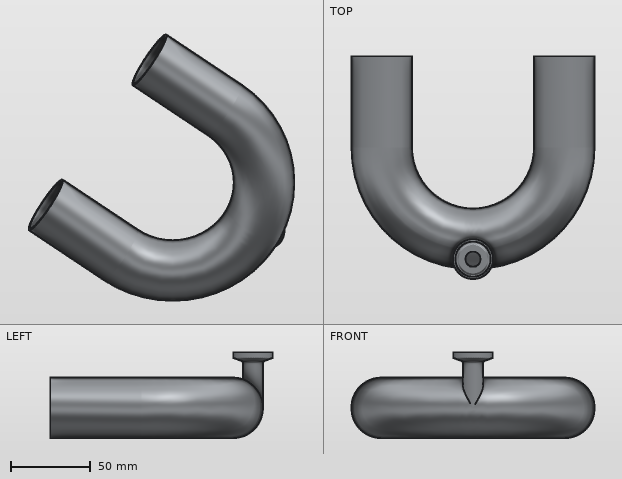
import cadquery as cq
import math

tube_od = 38.1
tube_id = 34.7
overall_width = 152.4
leg_length = 57.2
bend_radius = (overall_width - tube_od) / 2

branch_od = 12.6
branch_id = 9.5
ferrule_od = 25.0
ferrule_top = 34.9
rim_height = 3.7
cone_angle = 20.0
rim_rounding = 0.3
neck_fillet = 1.2
branch_y = -(overall_width - branch_od) / 2

groove_outer_diameter = 22.0
groove_inner_diameter = 17.5
groove_depth = 1.2
groove_lip_rounding = 0.6


def u_bar(diameter):
    """Solid round bar following the bend and both legs."""
    path = (
        cq.Workplane("XY")
        .moveTo(-bend_radius, leg_length)
        .lineTo(-bend_radius, 0)
        .threePointArc((0, -bend_radius), (bend_radius, 0))
        .lineTo(bend_radius, leg_length)
    )
    section = cq.Workplane("XZ", origin=(-bend_radius, leg_length, 0))
    return section.circle(diameter / 2).sweep(path)


def branch_profile():
    """Half-section plane of the branch: local X is radius, local Y is height."""
    return cq.Workplane("XZ", origin=(0, branch_y, 0))


def revolve_on_branch(profile):
    """Close a half section and turn it about the branch axis."""
    return profile.close().revolve(360, (0, 0, 0), (0, 1, 0))


def branch_body():
    """Pipe and ferrule without bore, rising from the tube centre plane."""
    pipe_radius = branch_od / 2
    rim_radius = ferrule_od / 2
    rim_bottom = ferrule_top - rim_height
    cone_drop = (rim_radius - pipe_radius) * math.tan(math.radians(cone_angle))
    body = revolve_on_branch(
        branch_profile()
        .lineTo(pipe_radius, 0)
        .lineTo(pipe_radius, rim_bottom - cone_drop)
        .lineTo(rim_radius, rim_bottom)
        .lineTo(rim_radius, ferrule_top)
        .lineTo(0, ferrule_top)
    )
    body = body.edges(cq.selectors.RadiusNthSelector(0)).edges(">Z").fillet(neck_fillet)
    return body.edges(cq.selectors.RadiusNthSelector(-1)).fillet(rim_rounding)


def gasket_groove():
    """Ring with a round bottom and a rounded inner lip, open at the ferrule face."""
    outer = groove_outer_diameter / 2
    inner = groove_inner_diameter / 2
    lip_end = inner + groove_lip_rounding
    lip_mid = groove_lip_rounding * math.sqrt(0.5)
    lip_bottom = ferrule_top - groove_lip_rounding
    return revolve_on_branch(
        branch_profile()
        .moveTo(inner, ferrule_top)
        .threePointArc((inner + lip_mid, lip_bottom + lip_mid), (lip_end, lip_bottom))
        .threePointArc(((lip_end + outer) / 2, ferrule_top - groove_depth), (outer, ferrule_top))
    )


def branch_bore():
    """Bore from the ferrule face through the tube wall into the tube."""
    return cq.Workplane("XY", origin=(0, branch_y, 0)).circle(branch_id / 2).extrude(ferrule_top)


result = (
    u_bar(tube_od)
    .union(branch_body())
    .cut(u_bar(tube_id))
    .cut(gasket_groove())
    .cut(branch_bore())
)